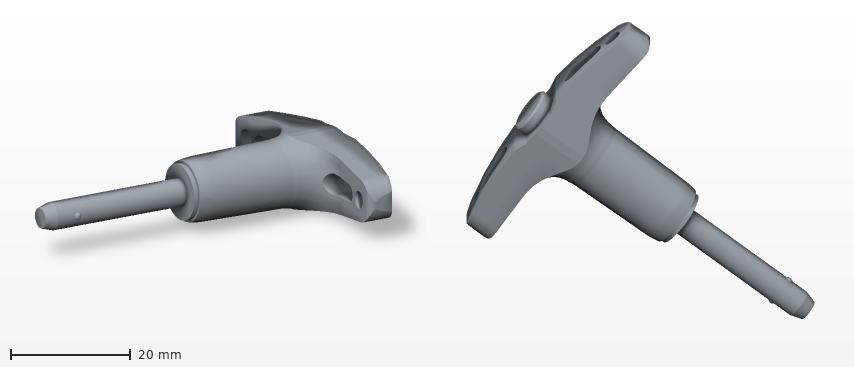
import cadquery as cq
import math

TOTAL_LENGTH = 59.2
PIN_LENGTH = 27.0
BUTTON_TOP = TOTAL_LENGTH - PIN_LENGTH

PIN_RADIUS = 2.395
PIN_TIP_RADIUS = 1.8
PIN_TIP_LENGTH = 2.1
BALL_RADIUS = 0.7
BALL_REACH = 2.8
BALL_Y = -21.1

SHOULDER_RADIUS = 4.85
SHOULDER_HEIGHT = 0.9
SLEEVE_END_RADIUS = 5.25
SLEEVE_ROUND_TOP = 3.25
SLEEVE_ROUND_MID = (5.475, 2.0)
SLEEVE_LOWER_RADIUS = 5.55
SLEEVE_RADIUS = 5.85
SLEEVE_TOP = 18.5
COLLAR_RADIUS = 6.0
FLARE_START = 19.4

HANDLE_HALF_LENGTH = 22.6
HANDLE_HALF_THICKNESS = 6.36
FLANK_FLAT_HALF = 0.8
END_RADIUS = 3.8
END_CENTER_X = HANDLE_HALF_LENGTH - END_RADIUS
WING_UNDERSIDE_Y = 24.45
WING_TIP_UNDERSIDE_Y = 23.45
WING_BEND_X = 11.25
TIP_CORNER_X = 22.7
SADDLE_HALF_WIDTH = 3.15
SADDLE_Y = 30.2
CREST_X = 5.6
CREST_Y = 30.85
TIP_TOP_X = 22.15
TIP_TOP_Y = 28.15
CROWN_MID = (14.55, 29.95)
TIP_CORNER_ROUND = 1.2

BUTTON_RADIUS = 3.85
BUTTON_CHAMFER = 0.35

HOLE_X = 18.65
HOLE_RADIUS = 1.55
SLOT_INNER_X = 9.65
SLOT_INNER_RADIUS = 1.9
SLOT_OUTER_X = 14.7
SLOT_OUTER_RADIUS = 1.55


def tangent_angle(distance, large_radius, small_radius):
    """Angle from the line of centres to the outer tangent point on two circles."""
    return math.acos((large_radius - small_radius) / distance)


def along_y(outline, y_low, y_high):
    """Extrude a closed X-Z outline from y_low to y_high."""
    return outline.extrude(-(y_high - y_low)).translate((0, y_low, 0))


def make_handle_outline(y_low, y_high):
    """Diamond-shaped plan of the handle, with straight flanks tangent to its round ends."""
    run = END_CENTER_X - FLANK_FLAT_HALF
    flank_angle = math.atan2(HANDLE_HALF_THICKNESS, run)
    flank_angle += math.acos(END_RADIUS / math.hypot(run, HANDLE_HALF_THICKNESS))
    normal_angle = math.pi - flank_angle
    end_x = END_CENTER_X + END_RADIUS * math.cos(normal_angle)
    end_z = END_RADIUS * math.sin(normal_angle)
    outline = (
        cq.Workplane("XZ")
        .moveTo(-FLANK_FLAT_HALF, HANDLE_HALF_THICKNESS)
        .lineTo(FLANK_FLAT_HALF, HANDLE_HALF_THICKNESS)
        .lineTo(end_x, end_z)
        .threePointArc((HANDLE_HALF_LENGTH, 0), (end_x, -end_z))
        .lineTo(FLANK_FLAT_HALF, -HANDLE_HALF_THICKNESS)
        .lineTo(-FLANK_FLAT_HALF, -HANDLE_HALF_THICKNESS)
        .lineTo(-end_x, -end_z)
        .threePointArc((-HANDLE_HALF_LENGTH, 0), (-end_x, end_z))
        .close()
    )
    return along_y(outline, y_low, y_high)


def make_wings():
    """Arched handle bar with a saddle in the middle of its crown."""
    half = (
        cq.Workplane("XY")
        .moveTo(0, WING_UNDERSIDE_Y)
        .lineTo(WING_BEND_X, WING_UNDERSIDE_Y)
        .lineTo(TIP_CORNER_X, WING_TIP_UNDERSIDE_Y)
        .lineTo(TIP_TOP_X, TIP_TOP_Y)
        .threePointArc(CROWN_MID, (CREST_X, CREST_Y))
        .lineTo(SADDLE_HALF_WIDTH, SADDLE_Y)
        .lineTo(0, SADDLE_Y)
        .close()
        .extrude(HANDLE_HALF_THICKNESS, both=True)
    )
    tip_corner = cq.selectors.NearestToPointSelector((TIP_CORNER_X, WING_TIP_UNDERSIDE_Y, 0))
    half = half.edges(tip_corner).fillet(TIP_CORNER_ROUND)
    return half.union(half.mirror("YZ"))


def make_flare():
    """Trumpet-shaped transition from the sleeve to the underside of the wings."""
    width = WING_BEND_X - COLLAR_RADIUS
    height = WING_UNDERSIDE_Y - FLARE_START
    radius = (width**2 + height**2) / (2 * height)
    half_sweep = math.asin(width / radius) / 2
    flare_mid = (
        WING_BEND_X - radius * math.sin(half_sweep),
        WING_UNDERSIDE_Y - radius * (1 - math.cos(half_sweep)),
    )
    return (
        cq.Workplane("XY")
        .moveTo(0, FLARE_START)
        .lineTo(COLLAR_RADIUS, FLARE_START)
        .threePointArc(flare_mid, (WING_BEND_X, WING_UNDERSIDE_Y))
        .lineTo(0, WING_UNDERSIDE_Y)
        .close()
        .revolve(360, (0, 0, 0), (0, 1, 0))
    )


def make_shaft():
    """Pin and sleeve as one turned body, up to the start of the flare."""
    return (
        cq.Workplane("XY")
        .moveTo(0, -PIN_LENGTH)
        .lineTo(PIN_TIP_RADIUS, -PIN_LENGTH)
        .lineTo(PIN_RADIUS, -PIN_LENGTH + PIN_TIP_LENGTH)
        .lineTo(PIN_RADIUS, 0)
        .lineTo(SHOULDER_RADIUS, 0)
        .lineTo(SHOULDER_RADIUS, SHOULDER_HEIGHT)
        .lineTo(SLEEVE_END_RADIUS, SHOULDER_HEIGHT)
        .threePointArc(SLEEVE_ROUND_MID, (SLEEVE_LOWER_RADIUS, SLEEVE_ROUND_TOP))
        .lineTo(SLEEVE_RADIUS, SLEEVE_TOP)
        .lineTo(COLLAR_RADIUS, FLARE_START)
        .lineTo(0, FLARE_START)
        .close()
        .revolve(360, (0, 0, 0), (0, 1, 0))
    )


def make_button():
    """Push button rising out of the saddle."""
    circle = cq.Workplane("XZ").circle(BUTTON_RADIUS)
    return along_y(circle, WING_UNDERSIDE_Y, BUTTON_TOP).faces(">Y").chamfer(BUTTON_CHAMFER)


def make_openings(side):
    """Round hole and tapered slot through one wing; side is 1 or -1."""
    hole = cq.Workplane("XZ").center(side * HOLE_X, 0).circle(HOLE_RADIUS)
    angle = tangent_angle(SLOT_OUTER_X - SLOT_INNER_X, SLOT_INNER_RADIUS, SLOT_OUTER_RADIUS)
    inner_x = SLOT_INNER_X + SLOT_INNER_RADIUS * math.cos(angle)
    inner_z = SLOT_INNER_RADIUS * math.sin(angle)
    outer_x = SLOT_OUTER_X + SLOT_OUTER_RADIUS * math.cos(angle)
    outer_z = SLOT_OUTER_RADIUS * math.sin(angle)
    slot = (
        cq.Workplane("XZ")
        .moveTo(side * inner_x, inner_z)
        .lineTo(side * outer_x, outer_z)
        .threePointArc((side * (SLOT_OUTER_X + SLOT_OUTER_RADIUS), 0), (side * outer_x, -outer_z))
        .lineTo(side * inner_x, -inner_z)
        .threePointArc((side * (SLOT_INNER_X - SLOT_INNER_RADIUS), 0), (side * inner_x, inner_z))
        .close()
    )
    return along_y(hole, FLARE_START, BUTTON_TOP).union(along_y(slot, FLARE_START, BUTTON_TOP))


handle = make_wings().union(make_flare())
handle = handle.intersect(make_handle_outline(FLARE_START, BUTTON_TOP))
for side in (-1, 1):
    handle = handle.cut(make_openings(side))

result = handle.union(make_shaft()).union(make_button())
for side in (-1, 1):
    ball = cq.Workplane("XY").sphere(BALL_RADIUS)
    result = result.union(ball.translate((side * (BALL_REACH - BALL_RADIUS), BALL_Y, 0)))